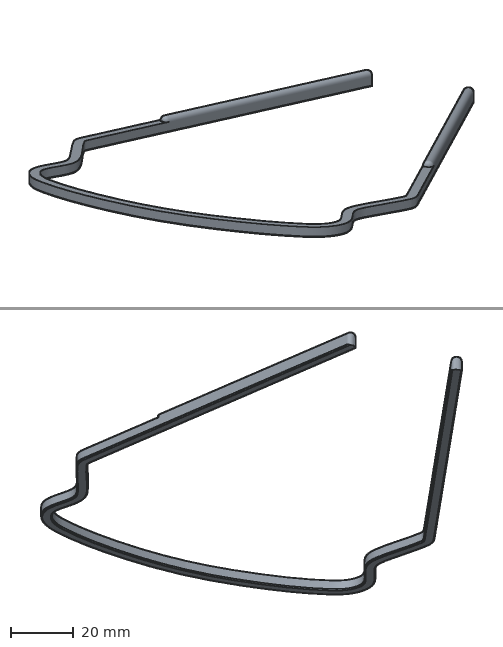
import cadquery as cq
import math

BAR = 3.5
HALF = BAR / 2
BOTTOM_CHAMFER = 0.4

TIP = (-18.15, 162.99)
SHOULDER_START = (-60.1, 56.8)
BEND_POINTS = [
    (-60.815, 54.2),
    (-60.1, 51.6),
    (-52.65, 36.7),
    (-51.7, 32.8),
    (-52.6, 29.0),
    (-55.1, 24.1),
    (-56.3, 19.6),
    (-53.6, 13.8),
    (-46.0, 9.4),
    (-24.5, 3.95),
    (-12.0, 2.3),
]
BASE_MIDDLE = (0, HALF)

RIDGE_LENGTH = 84.0
RIDGE_END_FILLET = 1.5
TIP_FILLET = 1.5


def unit(start, end):
    """Unit direction from start to end."""
    length = math.dist(start, end)
    return ((end[0] - start[0]) / length, (end[1] - start[1]) / length)


def centreline():
    """Path of the left half: a straight arm, then one smooth curve to the base middle."""
    return (
        cq.Workplane("XY").moveTo(*TIP).lineTo(*SHOULDER_START)
        .spline(
            [*BEND_POINTS, BASE_MIDDLE],
            tangents=[unit(TIP, SHOULDER_START), (1, 0)],
            scale=False,
            includeCurrent=True,
        )
    )


def tip_plane():
    """Plane across the arm tip; its normal runs down the arm and local Y is up."""
    down_arm = unit(TIP, SHOULDER_START)
    return cq.Plane(origin=(*TIP, 0), xDir=(-down_arm[1], down_arm[0], 0), normal=(*down_arm, 0))


def make_bar():
    """Square bar with its two bottom edges broken, swept along the centreline."""
    section = (
        cq.Workplane(tip_plane())
        .moveTo(-HALF, BAR).lineTo(HALF, BAR)
        .lineTo(HALF, BOTTOM_CHAMFER).lineTo(HALF - BOTTOM_CHAMFER, 0)
        .lineTo(BOTTOM_CHAMFER - HALF, 0).lineTo(-HALF, BOTTOM_CHAMFER)
        .close()
    )
    return section.sweep(centreline())


def make_ridge():
    """Half-round ridge on top of the arm, filleted around its lower end."""
    plane = tip_plane()
    rod = cq.Workplane(plane).center(0, BAR).circle(HALF).extrude(RIDGE_LENGTH)
    rod = rod.faces(cq.selectors.DirectionMinMaxSelector(plane.zDir, True)).fillet(RIDGE_END_FILLET)
    upper = cq.Workplane(plane).center(0, BAR + HALF / 2).rect(BAR, HALF).extrude(RIDGE_LENGTH)
    return rod.intersect(upper)


def round_tip(half):
    """Round the sides and the rounded top of the arm tip."""
    plane = tip_plane()
    end = half.faces(cq.selectors.DirectionMinMaxSelector(-plane.zDir, True))
    return end.edges("|Z or >Z").fillet(TIP_FILLET)


half_wire = make_bar().union(make_ridge())
half_wire = round_tip(half_wire)
result = half_wire.union(half_wire.mirror("YZ"))